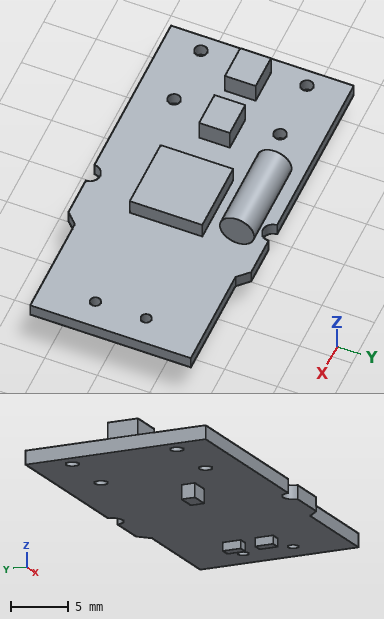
import cadquery as cq

board_length = 34.0
board_width = 17.4
board_thickness = 1.3
shoulder_x = 22.95
shoulder_depth = 1.05
notch_x = 18.12
notch_diameter = 1.9

hole_line_y = -0.15
large_hole_diameter = 1.2
large_hole_columns = [1.6, 7.58]
large_hole_spacing = 10.1
small_hole_diameter = 1.0
small_hole_x = 31.38
small_hole_spacing = 4.83

block_length = 3.45
block_width = 2.92
block_height = 2.05
block_centers_x = [3.23, 9.0]
chip_side = 6.9
chip_height = 1.6
chip_x = 17.48
chip_y = -0.27

lower_block_length = 1.95
lower_block_width = 1.3
lower_block_height = 1.33
lower_block_x = 12.05
lower_block_y = -1.87
pad_length = 0.95
pad_width = 1.75
pad_height = 0.78
pad_x = 28.15
pad_centers_y = [1.65, -1.45]

can_diameter = 3.25
can_length = 8.4
can_start_x = 12.0
can_y = 6.25


def box_at(length, width, height, x, y, bottom_z):
    """Box centred on (x, y), standing on bottom_z."""
    box = cq.Workplane("XY").box(length, width, height, centered=(True, True, False))
    return box.translate((x, y, bottom_z))


def make_plate():
    """Board outline with a narrow right end, edge notches and holes."""
    half_width = board_width / 2
    narrow_half_width = half_width - shoulder_depth
    narrow_x = shoulder_x + shoulder_depth
    outline = [
        (0, -half_width),
        (shoulder_x, -half_width),
        (narrow_x, -narrow_half_width),
        (board_length, -narrow_half_width),
        (board_length, narrow_half_width),
        (narrow_x, narrow_half_width),
        (shoulder_x, half_width),
        (0, half_width),
    ]
    plate = cq.Workplane("XY").polyline(outline).close().extrude(board_thickness)

    def drill(points, diameter):
        return cq.Workplane("XY").pushPoints(points).circle(diameter / 2).extrude(board_thickness)

    notch_points = [(notch_x, side * half_width) for side in (-1, 1)]
    large_points = [
        (x, hole_line_y + side * large_hole_spacing / 2)
        for x in large_hole_columns
        for side in (-1, 1)
    ]
    small_points = [
        (small_hole_x, hole_line_y + side * small_hole_spacing / 2) for side in (-1, 1)
    ]
    plate = plate.cut(drill(notch_points, notch_diameter))
    plate = plate.cut(drill(large_points, large_hole_diameter))
    return plate.cut(drill(small_points, small_hole_diameter))


def make_board():
    """Plate in one piece with the raised blocks on both faces."""
    board = make_plate()
    for x in block_centers_x:
        board = board.union(box_at(block_length, block_width, block_height, x, 0, board_thickness))
    board = board.union(box_at(chip_side, chip_side, chip_height, chip_x, chip_y, board_thickness))
    board = board.union(
        box_at(
            lower_block_length, lower_block_width, lower_block_height,
            lower_block_x, lower_block_y, -lower_block_height,
        )
    )
    for y in pad_centers_y:
        board = board.union(box_at(pad_length, pad_width, pad_height, pad_x, y, -pad_height))
    return board


def make_can():
    """Cylinder along X that touches the board top along one line."""
    radius = can_diameter / 2
    can = cq.Workplane("YZ").circle(radius).extrude(can_length)
    return can.translate((can_start_x, can_y, board_thickness + radius))


board = make_board()
can = make_can()

result = cq.Compound.makeCompound([board.solids().val(), can.val()])